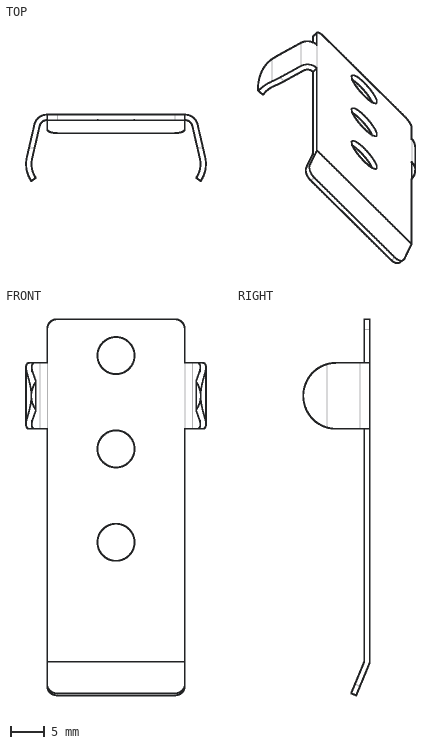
import cadquery as cq
import math

height = 56.5
plate_width = 20.7
thickness = 0.85
corner_radius = 1.5

lip_height = 4.9
lip_angle = math.radians(22.5)

hole_diameter = 5.55
hole_count = 3
hole_pitch = 14.0
first_hole_drop = 5.5

clip_width = 9.95
clip_drop = 11.5
clip_depth = 10.0
bend_radius = 2.0
flare_angle = math.radians(13)
curl_start_depth = 6.45
curl_end_angle = math.radians(35)


def make_plate():
    """Flat plate with its lip folded towards -Y and all four corners rounded."""
    lip_run = lip_height * math.tan(lip_angle)
    normal_y = -math.cos(lip_angle)
    normal_z = math.sin(lip_angle)
    inner_fold_z = lip_height + thickness * math.tan(lip_angle / 2)
    plate = (
        cq.Workplane("YZ")
        .moveTo(0, height)
        .lineTo(0, lip_height)
        .lineTo(-lip_run, 0)
        .lineTo(-lip_run + thickness * normal_y, thickness * normal_z)
        .lineTo(-thickness, inner_fold_z)
        .lineTo(-thickness, height)
        .close()
        .extrude(plate_width / 2, both=True)
    )
    plate = plate.edges("|Y").edges(">Z").fillet(corner_radius)
    lip_normal = cq.Vector(0, normal_y, normal_z)
    return plate.edges(cq.ParallelDirSelector(lip_normal)).edges("<Z").fillet(corner_radius)


def cut_holes(plate):
    for index in range(hole_count):
        hole_z = height - first_hole_drop - index * hole_pitch
        hole = (
            cq.Workplane("XZ")
            .center(0, hole_z)
            .circle(hole_diameter / 2)
            .extrude(thickness)
        )
        plate = plate.cut(hole)
    return plate


def make_clip():
    """Clip on the +X side: bend, flared leg and inward curl, with a round end."""
    bend_center = (plate_width / 2, -bend_radius)
    leg_start_x = bend_center[0] + bend_radius * math.cos(flare_angle)
    leg_start_depth = bend_radius * (1 - math.sin(flare_angle))
    curl_radius = (clip_depth - curl_start_depth) / (math.sin(flare_angle) + math.sin(curl_end_angle))
    leg_end_x = leg_start_x + (curl_start_depth - leg_start_depth) * math.tan(flare_angle)
    curl_center = (
        leg_end_x - curl_radius * math.cos(flare_angle),
        -curl_start_depth - curl_radius * math.sin(flare_angle),
    )

    def around(center, radius, angle):
        return (center[0] + radius * math.cos(angle), center[1] + radius * math.sin(angle))

    bend_middle_angle = (math.pi / 2 + flare_angle) / 2
    curl_middle_angle = (flare_angle - curl_end_angle) / 2
    inner_bend = bend_radius - thickness
    inner_curl = curl_radius - thickness
    clip = (
        cq.Workplane("XY", origin=(0, 0, height - clip_drop))
        .moveTo(0, 0)
        .lineTo(plate_width / 2, 0)
        .threePointArc(
            around(bend_center, bend_radius, bend_middle_angle),
            around(bend_center, bend_radius, flare_angle),
        )
        .lineTo(*around(curl_center, curl_radius, flare_angle))
        .threePointArc(
            around(curl_center, curl_radius, curl_middle_angle),
            around(curl_center, curl_radius, -curl_end_angle),
        )
        .lineTo(*around(curl_center, inner_curl, -curl_end_angle))
        .threePointArc(
            around(curl_center, inner_curl, curl_middle_angle),
            around(curl_center, inner_curl, flare_angle),
        )
        .lineTo(*around(bend_center, inner_bend, flare_angle))
        .threePointArc(
            around(bend_center, inner_bend, bend_middle_angle),
            (plate_width / 2, -thickness),
        )
        .lineTo(0, -thickness)
        .close()
        .extrude(clip_width / 2, both=True)
    )

    end_radius = clip_width / 2
    round_start = end_radius - clip_depth
    side_outline = (
        cq.Workplane("YZ", origin=(0, 0, height - clip_drop))
        .moveTo(0, end_radius)
        .lineTo(round_start, end_radius)
        .threePointArc((-clip_depth, 0), (round_start, -end_radius))
        .lineTo(0, -end_radius)
        .close()
        .extrude(plate_width)
    )
    return clip.intersect(side_outline)


right_clip = make_clip()
left_clip = right_clip.mirror("YZ")
result = cut_holes(make_plate().union(right_clip).union(left_clip))